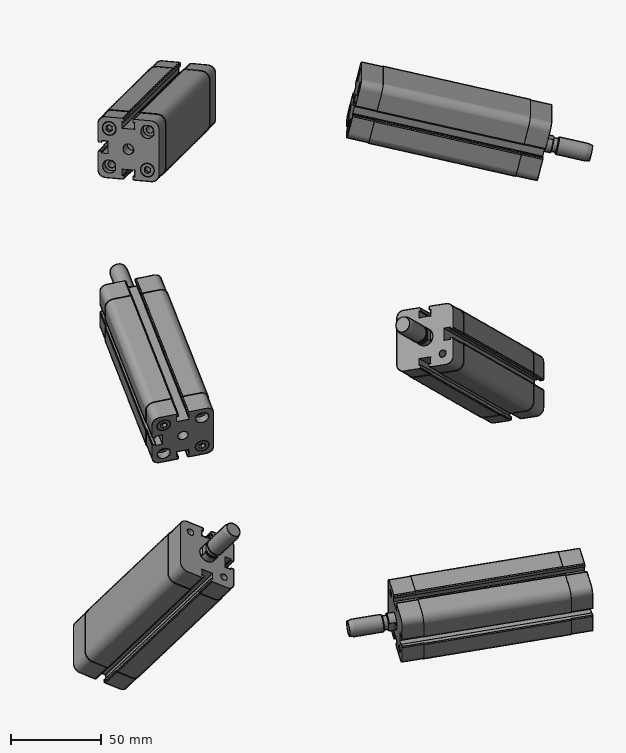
import cadquery as cq
import math


tube_side = 36.0
cap_side = 35.2
cap_corner_radius = 4.5
tube_corner_radius = 5.8
tube_flat_width = 27.2
cap_length = 12.2
tube_length = 83.5
housing_length = tube_length + 2 * cap_length

slot_mouth_width = 5.2
slot_inner_width = 7.1
slot_lip = 2.4
slot_depth = 6.2
mouth_chamfer_width = 0.7
mouth_chamfer_depth = 0.4
slot_angles = (0, 90, 180)

bolt_offset = 11.0
bolt_hole_diameter = 4.2
counterbore_diameter = 7.5
counterbore_depth = 4.6
center_hole_diameter = 6.0
center_hole_depth = 8.1
screw_pocket_diameter = 8.0
screw_head_diameter = 7.5
screw_head_height = 4.0
hex_across_flats = 3.5
hex_depth = 2.7

overall_length = 134.5
rod_diameter = 10.0
neck_diameter = 8.0
thread_length = 19.5
tip_chamfer_length = 2.5
tip_diameter = 8.6
thread_end_chamfer = 0.5
neck_length = 2.4
collar_chamfer = 0.4
flat_distance = 8.0


def cap_bar():
    """Square bar with rounded edges, as long as the housing; its ends form the caps."""
    bar = cq.Workplane("XY").box(cap_side, housing_length, cap_side)
    return bar.edges("|Y").fillet(cap_corner_radius).translate((0, housing_length / 2, 0))


def tube_bar():
    """Square tube blank whose corners are shallow arcs."""
    face = tube_side / 2
    flat = tube_flat_width / 2
    half_chord = (face - flat) / math.sqrt(2)
    arc_rise = tube_corner_radius - math.sqrt(tube_corner_radius**2 - half_chord**2)
    arc_middle = (face + flat) / 2 + arc_rise / math.sqrt(2)
    outline = cq.Workplane("XZ", origin=(0, cap_length, 0)).moveTo(-flat, face)
    for x_sign, z_sign in ((1, 1), (1, -1), (-1, -1), (-1, 1)):
        on_side = (x_sign * face, z_sign * flat)
        on_top_or_bottom = (x_sign * flat, z_sign * face)
        middle = (x_sign * arc_middle, z_sign * arc_middle)
        if x_sign == z_sign:
            outline = outline.lineTo(*on_top_or_bottom).threePointArc(middle, on_side)
        else:
            outline = outline.lineTo(*on_side).threePointArc(middle, on_top_or_bottom)
    return outline.close().extrude(-tube_length)


def rear_cylinder(diameter, depth, x=0, z=0):
    """Cylinder reaching into the housing from the rear face."""
    face = cq.Workplane("XZ").center(x, z)
    return face.circle(diameter / 2).extrude(-depth)


def slotted(bar, side):
    """Cut the T-slots into a bar of the given side, bevelling their mouths at its faces."""
    face = side / 2
    lip_bottom = tube_side / 2 - slot_lip
    floor = tube_side / 2 - slot_depth
    mouth = slot_mouth_width / 2
    inner = slot_inner_width / 2
    right_side = [
        (mouth + mouth_chamfer_width, face),
        (mouth, face - mouth_chamfer_depth),
        (mouth, lip_bottom),
        (inner, lip_bottom),
        (inner, floor),
    ]
    left_side = [(-x, z) for x, z in reversed(right_side)]
    cutter = cq.Workplane("XZ").polyline(right_side + left_side).close().extrude(-housing_length)
    for angle in slot_angles:
        bar = bar.cut(cutter.rotate((0, 0, 0), (0, 1, 0), -angle))
    return bar


def make_housing():
    """End caps and tube joined, with the T-slots running the full length."""
    return slotted(cap_bar(), cap_side).union(slotted(tube_bar(), tube_side))


def cut_rear_holes(housing):
    """Blind center hole and two counterbored through holes on one diagonal."""
    housing = housing.cut(rear_cylinder(center_hole_diameter, center_hole_depth))
    for offset in (-bolt_offset, bolt_offset):
        housing = housing.cut(rear_cylinder(bolt_hole_diameter, housing_length, offset, offset))
        housing = housing.cut(rear_cylinder(counterbore_diameter, counterbore_depth, offset, offset))
    return housing


def add_screws(housing):
    """Flush socket screws on the other diagonal, each in a pocket with a thin gap around the head."""
    hex_across_corners = hex_across_flats / math.cos(math.pi / 6)
    for offset in (-bolt_offset, bolt_offset):
        pocket = rear_cylinder(screw_pocket_diameter, screw_head_height, offset, -offset)
        head = rear_cylinder(screw_head_diameter, screw_head_height, offset, -offset)
        socket = (
            cq.Workplane("XZ")
            .center(offset, -offset)
            .transformed(rotate=(0, 0, 90))
            .polygon(6, hex_across_corners)
            .extrude(-hex_depth)
        )
        housing = housing.cut(pocket.cut(head)).cut(socket)
    return housing


def make_rod():
    """Turned rod with a chamfered thread, a neck and two wrench flats."""
    rod_radius = rod_diameter / 2
    neck_radius = neck_diameter / 2
    thread_start = overall_length - thread_length
    neck_start = thread_start - neck_length
    profile = [
        (0, housing_length),
        (rod_radius, housing_length),
        (rod_radius, neck_start - collar_chamfer),
        (rod_radius - collar_chamfer, neck_start),
        (neck_radius, neck_start),
        (neck_radius, thread_start),
        (rod_radius - thread_end_chamfer, thread_start),
        (rod_radius, thread_start + thread_end_chamfer),
        (rod_radius, overall_length - tip_chamfer_length),
        (tip_diameter / 2, overall_length),
        (0, overall_length),
    ]
    rod = cq.Workplane("XY").polyline(profile).close().revolve(360, (0, 0, 0), (0, 1, 0))

    flat = flat_distance / 2
    runout = rod_radius - flat
    flat_outline = [
        (flat, neck_start),
        (flat, housing_length + runout),
        (rod_radius, housing_length),
        (rod_radius, neck_start),
    ]
    flat_cut = cq.Workplane("XY").polyline(flat_outline).close().extrude(rod_radius, both=True)
    return rod.cut(flat_cut).cut(flat_cut.mirror("YZ"))


result = add_screws(cut_rear_holes(make_housing())).union(make_rod())